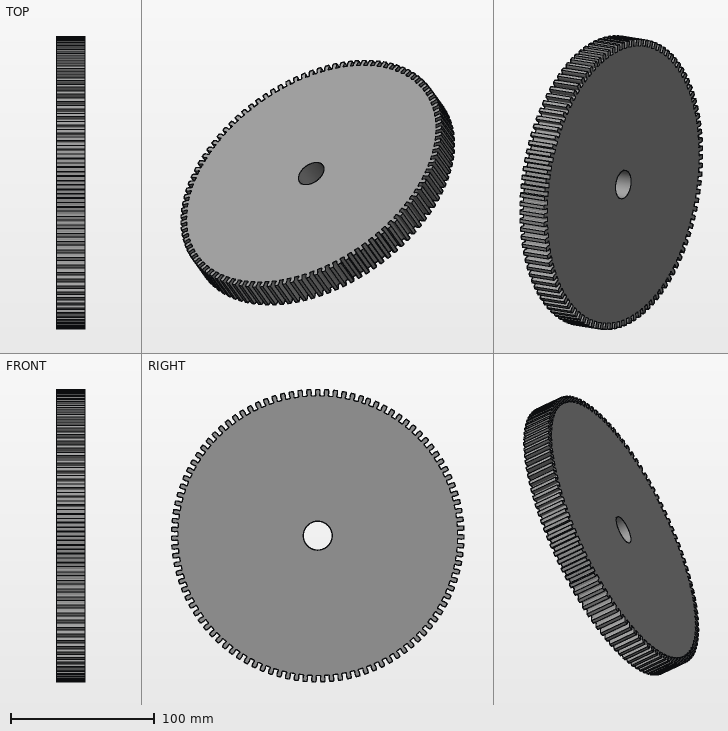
import cadquery as cq
import math

face_width = 20.0
module = 2.0
tip_diameter = 204.0
tooth_height = 2.25 * module
bore_diameter = 20.0

tooth_count = 103
tooth_step = 3.5
first_tooth_angle = 20.5

tip_thickness = 2.55
foot_thickness = 2.75
foot_lean = 17.0
root_fillet = 0.25 * module

tip_radius = tip_diameter / 2
root_radius = tip_radius - tooth_height
back_face_x = -face_width / 2


def rim_point(tooth_angle, radius, offset):
    """Point in YZ at a radius, set sideways from a tooth's centre line."""
    turn = math.radians(tooth_angle) + math.asin(offset / radius)
    return (radius * math.sin(turn), radius * math.cos(turn))


def flank_stations():
    """Radius and half thickness at the key points down a flank, tip to root."""
    lean = math.radians(foot_lean)
    tip_half = tip_thickness / 2
    foot_half = foot_thickness / 2
    foot_radius = root_radius + root_fillet * (1 + math.sin(lean))
    flank_height = tip_radius - foot_radius
    chord = math.hypot(flank_height, foot_half - tip_half)
    chord_tilt = math.atan2(foot_half - tip_half, flank_height)
    bulge = chord / 2 * math.tan((lean + chord_tilt) / 2)
    middle_radius = (tip_radius + foot_radius) / 2 + bulge * math.sin(chord_tilt)
    middle_half = (tip_half + foot_half) / 2 + bulge * math.cos(chord_tilt)
    root_half = foot_half + root_fillet * math.cos(lean)
    half_turn = (math.pi / 2 - lean) / 2
    fillet_radius = root_radius + root_fillet * (1 - math.sin(half_turn))
    fillet_half = root_half - root_fillet * math.cos(half_turn)
    return [
        (tip_radius, tip_half),
        (middle_radius, middle_half),
        (foot_radius, foot_half),
        (fillet_radius, fillet_half),
        (root_radius, root_half),
    ]


def flank_points(tooth_angle, side):
    """Points down one flank from tip to root; side is -1 (leading) or 1 (trailing)."""
    return [rim_point(tooth_angle, radius, side * half) for radius, half in flank_stations()]


def add_tooth(outline, tooth_angle):
    """Draw one tooth from the root circle up, over the tip and back down."""
    tip, middle, foot, fillet_middle, _ = flank_points(tooth_angle, -1)
    outline = outline.threePointArc(fillet_middle, foot).threePointArc(middle, tip)
    tip_centre = rim_point(tooth_angle, tip_radius, 0)
    tip, middle, foot, fillet_middle, root = flank_points(tooth_angle, 1)
    outline = outline.threePointArc(tip_centre, tip)
    return outline.threePointArc(middle, foot).threePointArc(fillet_middle, root)


def toothed_blank():
    """Solid disc whose rim carries all the teeth and the gaps between them."""
    tooth_angles = [first_tooth_angle + i * tooth_step for i in range(tooth_count)]
    next_angles = tooth_angles[1:] + [first_tooth_angle + 360]
    outline = cq.Workplane("YZ", origin=(back_face_x, 0, 0))
    outline = outline.moveTo(*flank_points(first_tooth_angle, -1)[-1])
    for tooth_angle, next_angle in zip(tooth_angles, next_angles):
        outline = add_tooth(outline, tooth_angle)
        gap_centre = rim_point((tooth_angle + next_angle) / 2, root_radius, 0)
        outline = outline.threePointArc(gap_centre, flank_points(next_angle, -1)[-1])
    return outline.close().extrude(face_width)


def bore():
    """Cylinder along X that passes through the full face width."""
    circle = cq.Workplane("YZ", origin=(back_face_x, 0, 0)).circle(bore_diameter / 2)
    return circle.extrude(face_width)


result = toothed_blank().cut(bore())